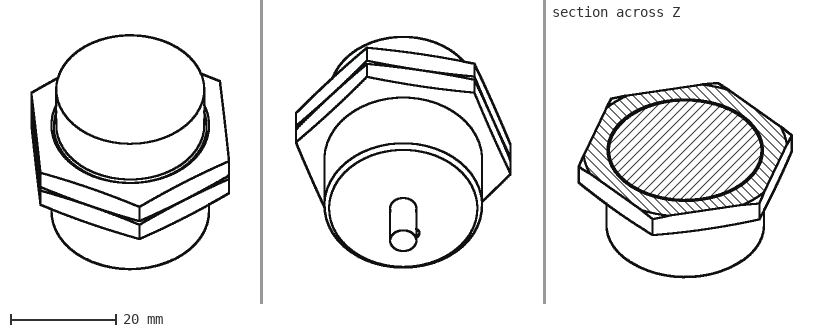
import cadquery as cq
import math

total_height = 45.0
cable_length = 10.0
cap_height = 10.0
nut_thickness = 5.0
nut_count = 2

barrel_diameter = 30.0
cap_diameter = 28.15
barrel_chamfer = 0.9
cable_diameter = 5.0
indicator_diameter = 2.0
indicator_offset = 6.25

nut_across_flats = 36.0
nut_face_diameter = 35.75
nut_corner_drop = 0.5

neck_diameter = (barrel_diameter + cap_diameter) / 2
neck_chamfer = (neck_diameter - cap_diameter) / 2
bore_chamfer = (barrel_diameter - neck_diameter) / 2

nut_stack_top = total_height - cap_height
nut_stack_bottom = nut_stack_top - nut_count * nut_thickness
nut_across_corners = nut_across_flats / math.cos(math.radians(30))


def cylinder(diameter, bottom, top):
    """Upright cylinder on the Z axis between two heights."""
    return cq.Workplane("XY").workplane(offset=bottom).circle(diameter / 2).extrude(top - bottom)


def make_housing():
    """Sensor housing with its cap, threaded barrel, cable and indicator lamp."""
    barrel = cylinder(barrel_diameter, cable_length, nut_stack_bottom)
    barrel = barrel.faces("<Z").chamfer(barrel_chamfer)
    neck = cylinder(neck_diameter, nut_stack_bottom, nut_stack_top)
    neck = neck.faces(">Z").chamfer(neck_chamfer)
    cap = cylinder(cap_diameter, nut_stack_top, total_height)
    cable = cylinder(cable_diameter, 0, cable_length)
    indicator = cq.Workplane("XY").sphere(indicator_diameter / 2)
    indicator = indicator.translate((0, -indicator_offset, cable_length))
    return barrel.union(neck).union(cap).union(cable).union(indicator)


def make_corner_envelope():
    """Revolved double cone that bevels the corners on both faces of a nut."""
    face_radius = nut_face_diameter / 2
    corner_radius = nut_across_corners / 2
    return (
        cq.Workplane("XZ")
        .moveTo(0, 0)
        .lineTo(face_radius, 0)
        .lineTo(corner_radius, nut_corner_drop)
        .lineTo(corner_radius, nut_thickness - nut_corner_drop)
        .lineTo(face_radius, nut_thickness)
        .lineTo(0, nut_thickness)
        .close()
        .revolve(360, (0, 0, 0), (0, 1, 0))
    )


def make_nut(bottom):
    """Hexagon nut with corners on the Y axis and a countersunk upper bore edge."""
    hexagon = cq.Workplane("XY").polygon(6, nut_across_corners).extrude(nut_thickness)
    hexagon = hexagon.rotate((0, 0, 0), (0, 0, 1), 90)
    nut = hexagon.intersect(make_corner_envelope())
    nut = nut.cut(cylinder(neck_diameter, 0, nut_thickness))
    nut = nut.faces(">Z").edges(cq.selectors.RadiusNthSelector(0)).chamfer(bore_chamfer)
    return nut.translate((0, 0, bottom))


housing = make_housing()
nuts = [make_nut(nut_stack_bottom + index * nut_thickness) for index in range(nut_count)]

result = cq.Compound.makeCompound([housing.val(), *[nut.val() for nut in nuts]])